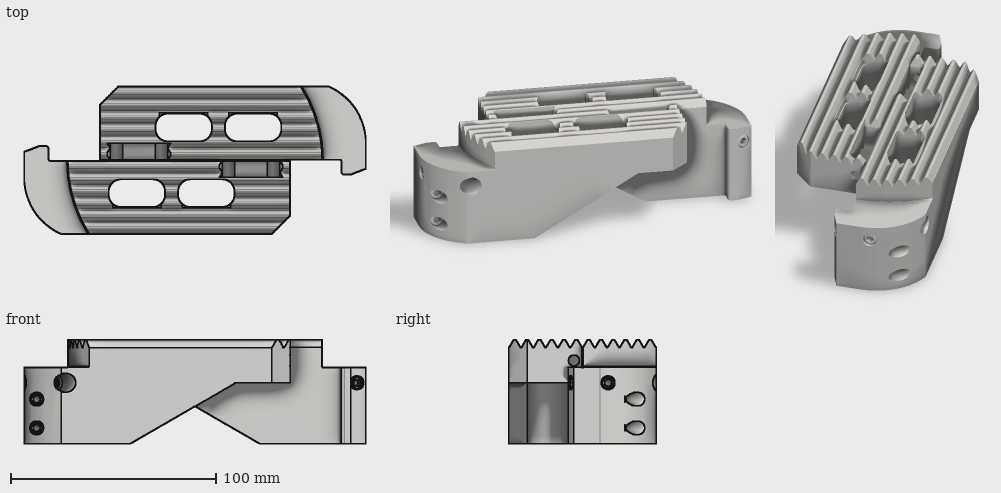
import cadquery as cq
import math

HALF_LENGTH = 83.3
JAW_WIDTH = 36.0
SIDE_GAP = 0.25
JAW_HEIGHT = 50.8
STEP_HEIGHT = 37.3
UNDERCUT_HEIGHT = 29.8
JAW_LENGTH = 129.6
NOSE = -HALF_LENGTH
TAIL = NOSE + JAW_LENGTH
INNER = -SIDE_GAP
FRONT = -JAW_WIDTH

NOSE_RADIUS = 30.2
NOSE_ARC_DROP = 8.3
HOOK_THICKNESS = 12.0
HOOK_REACH = 7.0
HOOK_BEVEL_LENGTH = 7.3
HOOK_BEVEL_DROP = 2.8
HOOK_TIP_FILLET = 1.3
HOOK_ROOT_FILLET = 0.8

BLOCK_START = NOSE + 21.3
BLOCK_END_RADIUS = 67.0
BLOCK_BASE_FILLET = 0.5
TAIL_CHAMFER = 9.0
TOOTH_COUNT = 6
TOOTH_PITCH = JAW_WIDTH / TOOTH_COUNT
TOOTH_FLAT = 1.2
TOOTH_DEPTH = 4.2
TOOTH_TIP_FILLET = 0.8
TOOTH_ROOT_FILLET = 0.3

FOOT_LENGTH = 51.7
UNDERCUT_ANGLE = 30.0

SLOT_LENGTH = 27.3
SLOT_WIDTH = 13.3
SLOT_RADIUS = 5.7
SLOT_PITCH = 33.8
FIRST_SLOT_X = NOSE + 55.0
SLOT_Y = -16.0

LEDGE_LENGTH = 23.7
LEDGE_REACH = 7.2
LEDGE_HEIGHT = 45.0

RECESS_HALF_WIDTH = 10.8

POCKET_CENTRE_X = TAIL - 19.0
POCKET_LENGTH = 28.0
POCKET_DEPTH = 8.3
POCKET_FLOOR = STEP_HEIGHT
POCKET_FLARE = 1.5
GROOVE_RADIUS = 3.0
ROD_HOLE_DIAMETER = 5.3
ROD_HOLE_HEIGHT = 40.7

SCREW_DIAMETER = 6.7
SOCKET_WIDTH = 4.0
SOCKET_DEPTH = 3.3
SOCKET_CONE_HEIGHT = 1.0
SCREW_CHAMFER = 0.7
SIDE_SCREW_X = NOSE + 6.2
SIDE_SCREW_HEIGHTS = (7.8, 21.8)
SIDE_SCREW_FACE_Y = -21.3
SIDE_SCREW_LENGTH = 16.7
END_SCREW_Y = -12.5
END_SCREW_RECESS = 1.2
END_SCREW_LENGTH = 5.0
LONG_SCREW_X = NOSE + 4.2
LONG_SCREW_LENGTH = 27.8
LONG_SCREW_RECESS = 0.3
ACCESS_DIAMETER = 9.2
MOUTH_LENGTH = 16.7
ACCESS_LENGTH = 33.3

BEVEL_ANGLE = math.atan2(HOOK_BEVEL_DROP, HOOK_BEVEL_LENGTH)
LONG_SCREW_DIR = cq.Vector(math.sin(BEVEL_ANGLE), -math.cos(BEVEL_ANGLE), 0)
BEVEL_POINT = cq.Vector(
    LONG_SCREW_X,
    HOOK_REACH - (NOSE + HOOK_BEVEL_LENGTH - LONG_SCREW_X) * math.tan(BEVEL_ANGLE),
    UNDERCUT_HEIGHT,
)


def base_body():
    """Plan outline of nose, hook and tail up to the step height."""
    arc_centre = (NOSE + NOSE_RADIUS, -NOSE_ARC_DROP)
    arc_end_x = arc_centre[0] - math.sqrt(NOSE_RADIUS**2 - (FRONT - arc_centre[1]) ** 2)
    end_angle = math.atan2(FRONT - arc_centre[1], arc_end_x - arc_centre[0])
    mid_angle = (end_angle - math.pi) / 2
    arc_mid = (
        arc_centre[0] + NOSE_RADIUS * math.cos(mid_angle),
        arc_centre[1] + NOSE_RADIUS * math.sin(mid_angle),
    )
    hook_inside = NOSE + HOOK_THICKNESS
    body = (
        cq.Workplane("XY")
        .moveTo(NOSE, -NOSE_ARC_DROP)
        .threePointArc(arc_mid, (arc_end_x, FRONT))
        .lineTo(TAIL - TAIL_CHAMFER, FRONT)
        .lineTo(TAIL, FRONT + TAIL_CHAMFER)
        .lineTo(TAIL, INNER)
        .lineTo(hook_inside, INNER)
        .lineTo(hook_inside, HOOK_REACH)
        .lineTo(NOSE + HOOK_BEVEL_LENGTH, HOOK_REACH)
        .lineTo(NOSE, HOOK_REACH - HOOK_BEVEL_DROP)
        .close()
        .extrude(STEP_HEIGHT)
    )
    hook_tip = cq.selectors.NearestToPointSelector((hook_inside, HOOK_REACH, STEP_HEIGHT / 2))
    hook_root = cq.selectors.NearestToPointSelector((hook_inside, INNER, STEP_HEIGHT / 2))
    body = body.edges(hook_tip).fillet(HOOK_TIP_FILLET)
    return body.edges(hook_root).fillet(HOOK_ROOT_FILLET)


def block_wall_x(y):
    """X of the curved end wall of the upper block at a given Y."""
    return BLOCK_START + BLOCK_END_RADIUS - math.sqrt(BLOCK_END_RADIUS**2 - y**2)


def upper_block():
    """Raised block behind the step, with a curved end wall."""
    return (
        cq.Workplane("XY", origin=(0, 0, STEP_HEIGHT))
        .moveTo(block_wall_x(INNER), INNER)
        .threePointArc((block_wall_x(FRONT / 2), FRONT / 2), (block_wall_x(FRONT), FRONT))
        .lineTo(TAIL - TAIL_CHAMFER, FRONT)
        .lineTo(TAIL, FRONT + TAIL_CHAMFER)
        .lineTo(TAIL, INNER)
        .close()
        .extrude(JAW_HEIGHT - STEP_HEIGHT)
    )


def tooth_gaps():
    """V grooves along X; half a groove falls on each long side."""
    half_gap = (TOOTH_PITCH - TOOTH_FLAT) / 2
    gaps = cq.Workplane("YZ", origin=(NOSE, 0, 0))
    for i in range(TOOTH_COUNT + 1):
        y = -i * TOOTH_PITCH
        gaps = (
            gaps.moveTo(y - half_gap, JAW_HEIGHT)
            .lineTo(y, JAW_HEIGHT - TOOTH_DEPTH)
            .lineTo(y + half_gap, JAW_HEIGHT)
            .close()
        )
    root_height = JAW_HEIGHT - TOOTH_DEPTH
    roots = cq.selectors.BoxSelector(
        (NOSE, FRONT - 1.7, root_height - 0.2), (TAIL, 1.7, root_height + 0.2)
    )
    return gaps.extrude(JAW_LENGTH).edges("|X").edges(roots).fillet(TOOTH_ROOT_FILLET)


def undercut():
    """Sloped clearance that leaves a short foot under the nose."""
    slope_run = UNDERCUT_HEIGHT / math.tan(math.radians(UNDERCUT_ANGLE))
    foot_end = NOSE + FOOT_LENGTH
    return (
        cq.Workplane("XZ")
        .moveTo(foot_end, 0)
        .lineTo(foot_end + slope_run, UNDERCUT_HEIGHT)
        .lineTo(TAIL, UNDERCUT_HEIGHT)
        .lineTo(TAIL, 0)
        .close()
        .extrude(JAW_WIDTH)
    )


def bolt_slots():
    """Two through slots, each with square-cornered ledges along its outer edge."""
    slot_centres = [(FIRST_SLOT_X + i * SLOT_PITCH, SLOT_Y) for i in range(2)]
    slots = (
        cq.Workplane("XY")
        .pushPoints(slot_centres)
        .rect(SLOT_LENGTH, SLOT_WIDTH)
        .extrude(JAW_HEIGHT)
        .edges("|Z")
        .fillet(SLOT_RADIUS)
    )
    ledge_centres = [(x, y - LEDGE_REACH / 2) for x, y in slot_centres]
    ledges = (
        cq.Workplane("XY", origin=(0, 0, LEDGE_HEIGHT))
        .pushPoints(ledge_centres)
        .rect(LEDGE_LENGTH, LEDGE_REACH)
        .extrude(JAW_HEIGHT - LEDGE_HEIGHT)
    )
    return slots.union(ledges)


def bolt_head_recess():
    """Wide recess under both slots, open to the underside, with a round end around the first slot."""
    margin = RECESS_HALF_WIDTH - SLOT_WIDTH / 2
    round_centre_x = FIRST_SLOT_X - SLOT_LENGTH / 2 - margin + RECESS_HALF_WIDTH
    recess_end_x = FIRST_SLOT_X + SLOT_PITCH + SLOT_LENGTH / 2 + margin
    straight = recess_end_x - round_centre_x
    recess = (
        cq.Workplane("XY")
        .center(round_centre_x, SLOT_Y)
        .rect(straight, 2 * RECESS_HALF_WIDTH)
        .extrude(UNDERCUT_HEIGHT)
        .translate((straight / 2, 0, 0))
    )
    round_end = (
        cq.Workplane("XY")
        .center(round_centre_x, SLOT_Y)
        .circle(RECESS_HALF_WIDTH)
        .extrude(UNDERCUT_HEIGHT)
    )
    return recess.union(round_end)


def rod_pocket():
    """Pocket with flared mouth, a groove across each end of its floor, and the rod hole."""
    half = POCKET_LENGTH / 2
    pocket = (
        cq.Workplane("XZ")
        .moveTo(POCKET_CENTRE_X - half, POCKET_FLOOR)
        .lineTo(POCKET_CENTRE_X - half, JAW_HEIGHT - TOOTH_DEPTH)
        .lineTo(POCKET_CENTRE_X - half - POCKET_FLARE, JAW_HEIGHT)
        .lineTo(POCKET_CENTRE_X + half + POCKET_FLARE, JAW_HEIGHT)
        .lineTo(POCKET_CENTRE_X + half, JAW_HEIGHT - TOOTH_DEPTH)
        .lineTo(POCKET_CENTRE_X + half, POCKET_FLOOR)
        .close()
        .extrude(POCKET_DEPTH)
    )
    groove_offset = half - GROOVE_RADIUS
    grooves = (
        cq.Workplane("XZ")
        .pushPoints([(POCKET_CENTRE_X + s * groove_offset, POCKET_FLOOR) for s in (-1, 1)])
        .circle(GROOVE_RADIUS)
        .extrude(POCKET_DEPTH)
    )
    rod_hole = (
        cq.Workplane("YZ", origin=(POCKET_CENTRE_X, 0, 0))
        .center(-POCKET_DEPTH / 2, ROD_HOLE_HEIGHT)
        .circle(ROD_HOLE_DIAMETER / 2)
        .extrude(TAIL - POCKET_CENTRE_X)
    )
    return pocket.union(grooves).union(rod_hole)


def rod(start, direction, diameter, length):
    """Plain cylinder from a start point along a direction."""
    plane = cq.Plane(origin=start.toTuple(), normal=direction.toTuple())
    return cq.Workplane(plane).circle(diameter / 2).extrude(length)


def hex_socket(start, direction):
    """Hexagon socket with a conical drill point at its bottom."""
    plane = cq.Plane(origin=start.toTuple(), normal=direction.toTuple())
    hexagon = cq.Workplane(plane).polygon(6, SOCKET_WIDTH).extrude(SOCKET_DEPTH)
    cone_radius = SOCKET_WIDTH * math.cos(math.radians(30)) / 2
    cone_base = start + direction * SOCKET_DEPTH
    drill_point = cq.Solid.makeCone(cone_radius, 0, SOCKET_CONE_HEIGHT, cone_base, direction)
    return hexagon.union(cq.Workplane(drill_point))


def set_screw(start, direction, length):
    """Set screw with both ends chamfered and a hexagon socket at the start point."""
    screw = rod(start, direction, SCREW_DIAMETER, length)
    return screw.edges("%CIRCLE").chamfer(SCREW_CHAMFER).cut(hex_socket(start, direction))


def long_screw():
    """The long set screw has a socket at each end, one of them reached through the access hole."""
    start, direction, length = long_screw_placement()
    far_socket = hex_socket(start + direction * length, -direction)
    return set_screw(start, direction, length).cut(far_socket)


def short_screw_placements():
    """Start point, direction and length of the two side screws and the end screw of a jaw."""
    placements = []
    for height in SIDE_SCREW_HEIGHTS:
        start = cq.Vector(SIDE_SCREW_X, SIDE_SCREW_FACE_Y, height)
        placements.append((start, cq.Vector(0, 1, 0), SIDE_SCREW_LENGTH))
    end_start = cq.Vector(NOSE + END_SCREW_RECESS, END_SCREW_Y, UNDERCUT_HEIGHT)
    placements.append((end_start, cq.Vector(1, 0, 0), END_SCREW_LENGTH))
    return placements


def long_screw_placement():
    start = BEVEL_POINT + LONG_SCREW_DIR * LONG_SCREW_RECESS
    return start, LONG_SCREW_DIR, LONG_SCREW_LENGTH


def screw_holes():
    """Holes that fit the screws and run out past their socket ends, and the access hole."""
    start, direction, length = long_screw_placement()
    holes = rod(start + direction * length, direction, ACCESS_DIAMETER, ACCESS_LENGTH)
    for start, direction, length in [*short_screw_placements(), long_screw_placement()]:
        mouth = start - direction * MOUTH_LENGTH
        holes = holes.union(rod(mouth, direction, SCREW_DIAMETER, MOUTH_LENGTH + length))
    return holes


def jaw():
    body = base_body().union(upper_block())
    wall_foot = (block_wall_x(FRONT / 2), FRONT / 2, STEP_HEIGHT)
    body = body.edges(cq.selectors.NearestToPointSelector(wall_foot)).fillet(BLOCK_BASE_FILLET)
    body = body.cut(tooth_gaps())
    body = body.edges("|X").edges(">Z").fillet(TOOTH_TIP_FILLET)
    body = body.cut(undercut()).cut(bolt_slots()).cut(bolt_head_recess()).cut(rod_pocket())
    return body.cut(screw_holes())


bodies = []
for turn in (0, 180):
    short_screws = [set_screw(*placement) for placement in short_screw_placements()]
    for part in [jaw(), long_screw(), *short_screws]:
        bodies.append(part.rotate((0, 0, 0), (0, 0, 1), turn).solids().val())

result = cq.Compound.makeCompound(bodies)